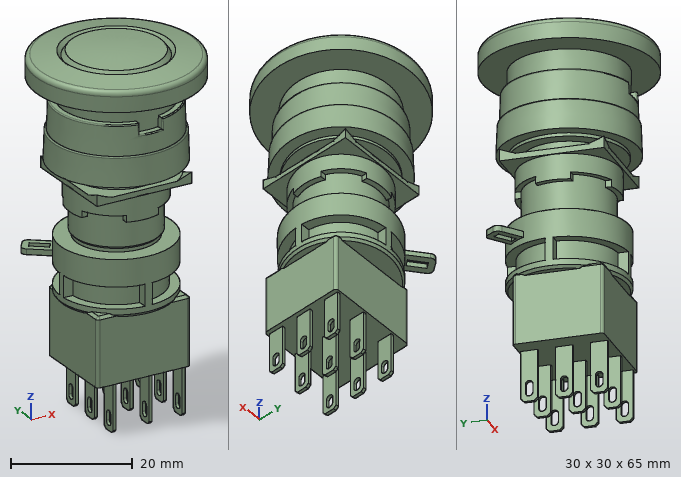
import cadquery as cq
import math


overall_height = 65.0
block_bottom = 9.0
drum_bottom = 21.0
drum_top = 31.45
barrel_bottom = 32.1
seat_height = 44.5
bezel_bottom = 45.1
bezel_step = 50.5
bezel_top = 56.0
cap_bottom = 59.95

cap_radius = 15.0
cap_edge_height = 2.85
dome_radius = 14.2
dome_drop = 1.25
neck_top_radius = 10.25
neck_bottom_radius = 10.05
bezel_upper_radii = (11.3, 11.5)
bezel_lower_radii = (11.85, 12.05)
bezel_edge_fillet = 0.2
seat_radius = 10.05
barrel_radius = 7.9
barrel_tip_radius = 7.45
groove_outer_radius = 9.75
groove_inner_radius = 8.4
groove_depth = 0.85
notch_width = 4.3
notch_depth = 2.0

nut_side = 18.1
nut_bottom = 41.9
nut_flat_height = 1.0
nut_corner_height = 2.05
nut_dish_radius = 10.97
ring_radius = 8.9
ring_bottom = 37.4
ring_tab_width = 6.1
ring_tab_height = 1.2

drum_radius = 10.48
drum_chamfer_height = 0.5
drum_chamfer_width = 0.4
core_radius = 8.73
window_bottom = 22.55
window_top = 26.5
rib_width = 1.38
box_x = (-8.9, 8.9)
box_y = (-8.9, 6.86)
box_top = 21.75
box_edge_fillet = 0.55
box_top_chamfer = 0.5

lever_angle = 142.5
lever_length = 15.65
lever_width = 3.7
lever_bottom = 27.65
lever_thickness = 1.05
lever_fillet = 1.05
lever_slot_length = 3.5
lever_slot_width = 1.3
lever_slot_margin = 1.2

terminal_x = (-5.35, 1.5, 7.83)
terminal_pitch_y = 6.05
terminal_center_y = -1.0
terminal_thickness = 0.6
terminal_width = 2.9
terminal_chamfer = 0.55
terminal_slot_width = 1.3
terminal_slot_length = 2.7
terminal_slot_bottom = 0.95


def disc(radius, bottom, top):
    return cq.Workplane("XY").workplane(offset=bottom).circle(radius).extrude(top - bottom)


def revolve_profile(profile):
    """Turn a closed radius-height profile, drawn on XZ, about the Z axis."""
    return profile.close().revolve(360, (0, 0, 0), (0, 1, 0))


def slab(x_range, y_range, z_range):
    corner = (x_range[0], y_range[0], z_range[0])
    size = (x_range[1] - x_range[0], y_range[1] - y_range[0], z_range[1] - z_range[0])
    return cq.Workplane("XY").box(*size, centered=False).translate(corner)


def cross_bars(width, bottom, top):
    """Two crossed bars along X and Y, long enough to span the whole part."""
    span = 2 * cap_radius
    bar = cq.Workplane("XY").workplane(offset=bottom).rect(span, width).extrude(top - bottom)
    return bar.union(bar.rotate((0, 0, 0), (0, 0, 1), 90))


def make_cap():
    """Mushroom cap with domed top and tapered neck, cut by a V groove around the lens."""
    sphere_radius = (dome_radius**2 + dome_drop**2) / (2 * dome_drop)
    sphere_center = overall_height - sphere_radius

    def dome_height(radius):
        return sphere_center + math.sqrt(sphere_radius**2 - radius**2)

    edge_top = cap_bottom + cap_edge_height
    edge_drop = dome_height(dome_radius) - edge_top
    edge_width = cap_radius - dome_radius
    edge_mid = (
        dome_radius + edge_width * math.sqrt(0.5),
        edge_top + edge_drop * math.sqrt(0.5),
    )
    dome_mid = dome_radius / 2
    cap = revolve_profile(
        cq.Workplane("XZ")
        .moveTo(0, bezel_top - notch_depth)
        .lineTo(neck_bottom_radius, bezel_top - notch_depth)
        .lineTo(neck_top_radius, cap_bottom)
        .lineTo(cap_radius, cap_bottom)
        .lineTo(cap_radius, edge_top)
        .threePointArc(edge_mid, (dome_radius, dome_height(dome_radius)))
        .threePointArc((dome_mid, dome_height(dome_mid)), (0, overall_height))
    )
    groove_middle = (groove_outer_radius + groove_inner_radius) / 2
    groove = revolve_profile(
        cq.Workplane("XZ")
        .moveTo(groove_middle, dome_height(groove_middle) - groove_depth)
        .lineTo(groove_outer_radius, dome_height(groove_outer_radius))
        .lineTo(groove_outer_radius, overall_height)
        .lineTo(groove_inner_radius, overall_height)
        .lineTo(groove_inner_radius, dome_height(groove_inner_radius))
    )
    return cap.cut(groove)


def make_tapered_ring(radii, bottom, top):
    top_radius, bottom_radius = radii
    return revolve_profile(
        cq.Workplane("XZ")
        .moveTo(0, bottom)
        .lineTo(bottom_radius, bottom)
        .lineTo(top_radius, top)
        .lineTo(0, top)
    )


def make_bezel():
    """Two stacked, slightly tapered rings with a notch in the front of the upper rim."""
    lower = make_tapered_ring(bezel_lower_radii, bezel_bottom, bezel_step)
    lower = lower.faces(">Z").edges().fillet(bezel_edge_fillet)
    notch = slab(
        (-notch_width / 2, notch_width / 2),
        (-cap_radius, 0),
        (bezel_top - notch_depth, bezel_top),
    )
    upper = make_tapered_ring(bezel_upper_radii, bezel_step, bezel_top).cut(notch)
    rim = upper.faces("%CONE").edges("not(<Z or >X)")
    return rim.fillet(bezel_edge_fillet).union(lower)


def make_barrel():
    """Panel seat and barrel, with a chamfered shoulder down to the barrel tip."""
    shoulder = barrel_radius - barrel_tip_radius
    barrel = disc(barrel_radius, barrel_bottom, bezel_bottom)
    barrel = barrel.faces("<Z").edges().chamfer(shoulder)
    return (
        barrel
        .union(disc(barrel_tip_radius, drum_top, bezel_bottom))
        .union(disc(seat_radius, seat_height, bezel_bottom))
    )


operator = make_bezel().union(make_cap()).union(make_barrel())


def make_locking_ring():
    """Square nut with raised corners around a conical dish, over a ring with four tabs."""
    nut_top = nut_bottom + nut_corner_height
    dish_height = nut_bottom + nut_flat_height
    corner_radius = nut_side / math.sqrt(2)
    nut = cq.Workplane("XY").workplane(offset=nut_bottom).rect(nut_side, nut_side)
    nut = nut.extrude(nut_corner_height)
    dish = revolve_profile(
        cq.Workplane("XZ")
        .moveTo(0, dish_height)
        .lineTo(nut_dish_radius, dish_height)
        .lineTo(corner_radius, nut_top)
        .lineTo(0, nut_top)
    )
    tab_root = ring_bottom + ring_tab_height
    tabs = disc(ring_radius, ring_bottom, tab_root)
    tabs = tabs.intersect(cross_bars(ring_tab_width, ring_bottom, tab_root))
    ring = nut.cut(dish).union(disc(ring_radius, tab_root, nut_bottom)).union(tabs)
    return ring.cut(disc(barrel_radius, ring_bottom, nut_top))


locking_ring = make_locking_ring()


def make_drum():
    """Round drum with four windows around a core, parted by four ribs."""
    drum = disc(drum_radius, drum_bottom, drum_top)
    drum = drum.faces("<Z").edges().chamfer(drum_chamfer_height, drum_chamfer_width)
    windows = disc(cap_radius, window_bottom, window_top)
    windows = windows.cut(disc(core_radius, window_bottom, window_top))
    return drum.cut(windows.cut(cross_bars(rib_width, window_bottom, window_top)))


def make_box():
    box = slab(box_x, box_y, (block_bottom, box_top))
    return box.edges("|Z").fillet(box_edge_fillet).faces(">Z").edges().chamfer(box_top_chamfer)


def make_lever():
    """Slotted lever reaching out of the drum from its axis."""
    lever = slab(
        (0, lever_length),
        (-lever_width / 2, lever_width / 2),
        (lever_bottom, lever_bottom + lever_thickness),
    )
    slot_end = lever_length - lever_slot_margin
    slot = slab(
        (slot_end - lever_slot_length, slot_end),
        (-lever_slot_width / 2, lever_slot_width / 2),
        (lever_bottom, lever_bottom + lever_thickness),
    )
    lever = lever.edges("|Z and >X").fillet(lever_fillet).cut(slot)
    return lever.rotate((0, 0, 0), (0, 0, 1), lever_angle)


def make_terminal(x, y):
    """Flat solder terminal with clipped corners and a rounded slot."""
    blade = slab(
        (x - terminal_thickness / 2, x + terminal_thickness / 2),
        (y - terminal_width / 2, y + terminal_width / 2),
        (0, block_bottom),
    )
    slot = (
        cq.Workplane("YZ", origin=(x, y, terminal_slot_bottom + terminal_slot_length / 2))
        .slot2D(terminal_slot_length, terminal_slot_width, 90)
        .extrude(terminal_thickness, both=True)
    )
    return blade.edges("|X and <Z").chamfer(terminal_chamfer).cut(slot)


contact_block = make_drum().union(make_box()).union(make_lever())
for x in terminal_x:
    for row in (-1, 0, 1):
        contact_block = contact_block.union(make_terminal(x, terminal_center_y + row * terminal_pitch_y))


bodies = [operator, locking_ring, contact_block]
result = cq.Compound.makeCompound([body.solids().val() for body in bodies])